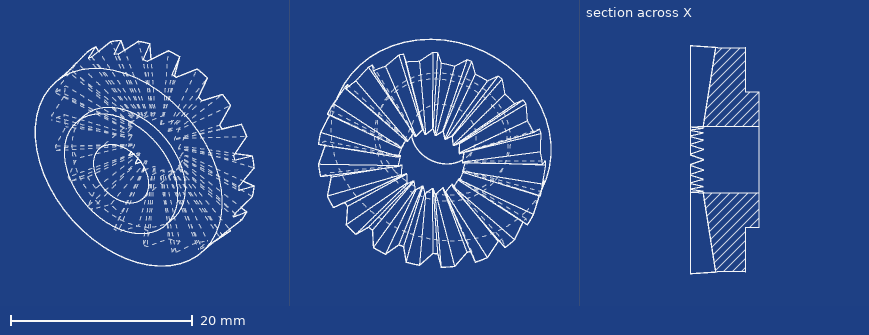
import cadquery as cq

bore_diameter = 7.3
hub_diameter = 15.0
rim_diameter = 24.74
tip_diameter = 25.27

hub_height = 1.5
rim_height = 3.0
total_height = 7.58

tooth_count = 20
tooth_pitch_angle = 360 / tooth_count

outer_gap_top_width = 2.44
outer_gap_floor_width = 0.56
outer_gap_depth = 2.82
inner_gap_top_width = 1.04
inner_gap_floor_width = 0.06
inner_gap_depth = 1.4

bore_radius = bore_diameter / 2
hub_radius = hub_diameter / 2
rim_radius = rim_diameter / 2
tip_radius = tip_diameter / 2
rim_top = hub_height + rim_height

inner_section_radius = bore_radius
outer_section_radius = tip_radius
cutter_overrun = 0.2


def make_blank():
    """Turned blank: hub, cylindrical rim and slightly flared tooth band, with the bore."""
    half_profile = [
        (bore_radius, 0),
        (hub_radius, 0),
        (hub_radius, hub_height),
        (rim_radius, hub_height),
        (rim_radius, rim_top),
        (tip_radius, total_height),
        (bore_radius, total_height),
    ]
    return cq.Workplane("XY").polyline(half_profile).close().revolve(360, (0, 0), (0, 1))


def size_at(radius, inner_size, outer_size):
    """Gap size at a distance from the axis, linear between the inner and outer sections."""
    share = (radius - inner_section_radius) / (outer_section_radius - inner_section_radius)
    return inner_size + share * (outer_size - inner_size)


def gap_section(radius):
    """Trapezoid of the gap in a plane normal to Z, its sides carried on above the tips."""
    half_top = size_at(radius, inner_gap_top_width, outer_gap_top_width) / 2
    half_floor = size_at(radius, inner_gap_floor_width, outer_gap_floor_width) / 2
    depth = size_at(radius, inner_gap_depth, outer_gap_depth)
    half_mouth = half_top + (half_top - half_floor) * cutter_overrun / depth
    floor = total_height - depth
    mouth = total_height + cutter_overrun
    corners = [
        (-half_floor, floor),
        (half_floor, floor),
        (half_mouth, mouth),
        (-half_mouth, mouth),
    ]
    return [cq.Vector(x, y, radius) for x, y in corners]


def make_gap_cutter():
    """Tapered solid that removes the gap pointing along +Z."""
    start = inner_section_radius - cutter_overrun
    end = outer_section_radius + cutter_overrun
    sections = [cq.Wire.makePolygon(gap_section(radius), close=True) for radius in (start, end)]
    return cq.Solid.makeLoft(sections, True)


def cut_teeth(blank):
    """Cut the evenly spaced gaps that leave the teeth standing."""
    cutter = make_gap_cutter()
    origin = cq.Vector(0, 0, 0)
    axis_point = cq.Vector(0, 1, 0)
    cutters = [
        cutter.rotate(origin, axis_point, index * tooth_pitch_angle)
        for index in range(tooth_count)
    ]
    return cq.Workplane(blank.val().cut(*cutters))


result = cut_teeth(make_blank())